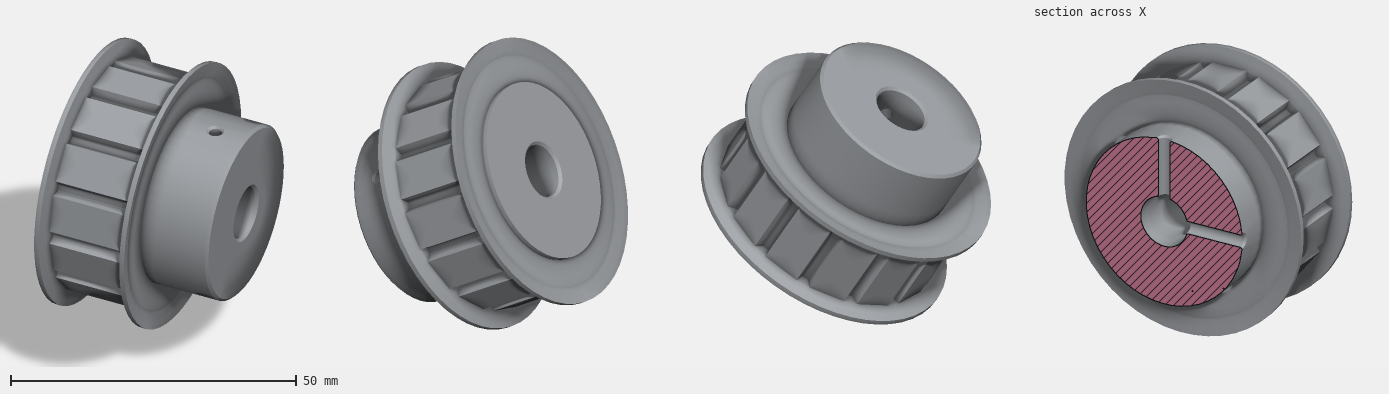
import cadquery as cq
import math

overall_length = 30.15

tooth_count = 14
tooth_top_distance = 20.95
groove_top_half_width = 1.3
groove_top_radius = 21.2
groove_root_half_width = 0.65
groove_root_radius = 19.4
groove_root_fillet = 0.35
belt_start = 2.0
belt_width = 14.35
belt_end = belt_start + belt_width

flange_radius = 24.2
flange_thickness = 0.9
flange_dish = 0.65
flange_bend_radius = 21.15

hub_radius = 16.0
hub_chamfer = 0.5
bore_radius = 4.75
bore_chamfer = 0.5

screw_position = 24.2
screw_radius = 1.15
screw_mouth_radius = 1.55
screw_mouth_depth = screw_mouth_radius - screw_radius


def make_groove():
    """Cutter for a trapezoidal belt groove facing +Y with a rounded root, open past the corners."""
    widening = groove_top_half_width - groove_root_half_width
    wall_slope = widening / (groove_top_radius - groove_root_radius)
    open_radius = flange_radius
    open_half_width = groove_root_half_width + wall_slope * (open_radius - groove_root_radius)
    profile = [
        (open_radius, -open_half_width),
        (groove_root_radius, -groove_root_half_width),
        (groove_root_radius, groove_root_half_width),
        (open_radius, open_half_width),
    ]
    groove = cq.Workplane("YZ").workplane(offset=belt_start).polyline(profile).close().extrude(belt_width)
    return groove.faces("<Y").edges("|X").fillet(groove_root_fillet)


def make_toothed_rim():
    """Polygonal prism with a groove cut at each corner, leaving flat-topped teeth."""
    corner_diameter = 2 * tooth_top_distance / math.cos(math.pi / tooth_count)
    rim = cq.Workplane("YZ").workplane(offset=belt_start).polygon(tooth_count, corner_diameter)
    rim = rim.extrude(belt_width)
    groove = make_groove()
    for index in range(tooth_count):
        rim = rim.cut(groove.rotate((0, 0, 0), (1, 0, 0), index * 360 / tooth_count))
    return rim


def revolve_about_x(profile):
    """Revolve a closed (x, radius) profile about the X axis."""
    return cq.Workplane("XY").polyline(profile).close().revolve(360, (0, 0, 0), (1, 0, 0))


def make_flange(inner_face, outward):
    """Disc whose rim is bent away from the belt; outward is -1 (towards -X) or +1."""
    outer_face = inner_face + outward * flange_thickness
    bend = outward * flange_dish
    return revolve_about_x([
        (inner_face, 0),
        (inner_face, flange_bend_radius),
        (inner_face + bend, flange_radius),
        (outer_face + bend, flange_radius),
        (outer_face, flange_bend_radius),
        (outer_face, 0),
    ])


def make_hub():
    """Cylinder through the whole pulley, chamfered at its right end."""
    hub = cq.Workplane("YZ").circle(hub_radius).extrude(overall_length)
    return hub.faces(">X").chamfer(hub_chamfer)


def make_bore():
    """Cutter for the through bore, with a chamfer at both ends."""
    mouth_radius = bore_radius + bore_chamfer
    return revolve_about_x([
        (0, 0),
        (0, mouth_radius),
        (bore_chamfer, bore_radius),
        (overall_length - bore_chamfer, bore_radius),
        (overall_length, mouth_radius),
        (overall_length, 0),
    ])


def make_screw_hole():
    """Cutter for a radial hole from the axis out to +Z, countersunk at the hub surface."""
    mouth_bottom = hub_radius - screw_mouth_depth
    profile = [
        (0, 0),
        (screw_radius, 0),
        (screw_radius, mouth_bottom),
        (screw_mouth_radius, hub_radius),
        (0, hub_radius),
    ]
    hole = cq.Workplane("XZ").polyline(profile).close().revolve(360, (0, 0, 0), (0, 1, 0))
    return hole.translate((screw_position, 0, 0))


pulley = make_hub().union(make_toothed_rim())
pulley = pulley.union(make_flange(belt_start, -1)).union(make_flange(belt_end, 1))
pulley = pulley.cut(make_bore())
for turn in (0, -90):
    pulley = pulley.cut(make_screw_hole().rotate((0, 0, 0), (1, 0, 0), turn))

result = pulley